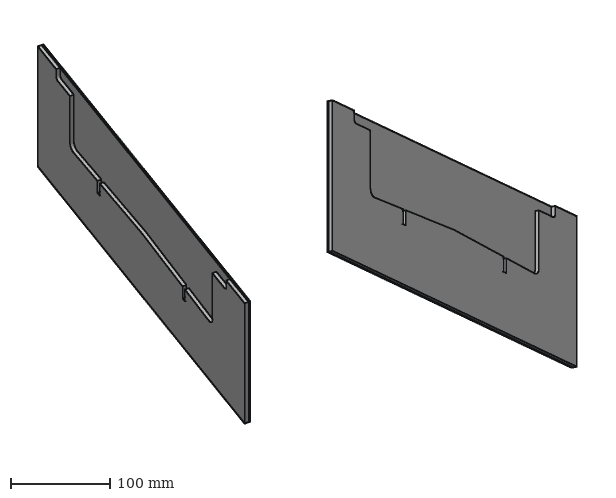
import cadquery as cq

WIDTH = 450.0
HEIGHT = 160.0
BACK_THICKNESS = 2.0
FRONT_THICKNESS = 4.5
TOTAL_THICKNESS = BACK_THICKNESS + FRONT_THICKNESS

SHOULDER_HALF_WIDTH = 185.0
SHOULDER_DEPTH = 13.0
SHOULDER_RADIUS = 4.0
OPENING_HALF_WIDTH = 155.0
CORNER_DEPTH = 82.5
APEX_DEPTH = 76.5
CORNER_RADIUS = 7.5

SLOT_OFFSET = 92.5
SLOT_WIDTH = 5.0
SLOT_DEPTH = 96.0

TOP = HEIGHT / 2
FRONT_FACE = -TOTAL_THICKNESS / 2
SEAM = FRONT_FACE + FRONT_THICKNESS


def plate(front_y, thickness):
    """Plain rectangular plate whose -Y face lies at front_y."""
    return cq.Workplane("XY").box(WIDTH, thickness, HEIGHT).translate((0, front_y + thickness / 2, 0))


def opening_cutter():
    """Stepped opening with a shallow peaked lower edge and rounded corners."""
    right_side = [
        (SHOULDER_HALF_WIDTH, TOP),
        (SHOULDER_HALF_WIDTH, TOP - SHOULDER_DEPTH),
        (OPENING_HALF_WIDTH, TOP - SHOULDER_DEPTH),
        (OPENING_HALF_WIDTH, TOP - CORNER_DEPTH),
    ]
    left_side = [(-x, z) for x, z in reversed(right_side)]
    apex = (0, TOP - APEX_DEPTH)
    cutter = (
        cq.Workplane("XZ", origin=(0, SEAM, 0))
        .polyline(right_side + [apex] + left_side)
        .close()
        .extrude(FRONT_THICKNESS)
    )
    for side in (-1, 1):
        shoulder = (side * SHOULDER_HALF_WIDTH, SEAM, TOP - SHOULDER_DEPTH)
        corner = (side * OPENING_HALF_WIDTH, SEAM, TOP - CORNER_DEPTH)
        cutter = cutter.edges("|Y").edges(cq.NearestToPointSelector(shoulder)).fillet(SHOULDER_RADIUS)
        cutter = cutter.edges("|Y").edges(cq.NearestToPointSelector(corner)).fillet(CORNER_RADIUS)
    return cutter


def slot_cutter(center_x):
    """Square-ended slot that starts inside the opening and ends below its lower edge."""
    length = SLOT_DEPTH - SHOULDER_DEPTH
    center_z = TOP - (SLOT_DEPTH + SHOULDER_DEPTH) / 2
    return (
        cq.Workplane("XZ", origin=(0, SEAM, 0))
        .center(center_x, center_z)
        .rect(SLOT_WIDTH, length)
        .extrude(FRONT_THICKNESS)
    )


back_plate = plate(SEAM, BACK_THICKNESS)

front_plate = plate(FRONT_FACE, FRONT_THICKNESS).cut(opening_cutter())
for slot_x in (-SLOT_OFFSET, SLOT_OFFSET):
    front_plate = front_plate.cut(slot_cutter(slot_x))

result = cq.Compound.makeCompound([back_plate.val(), front_plate.solids().val()])